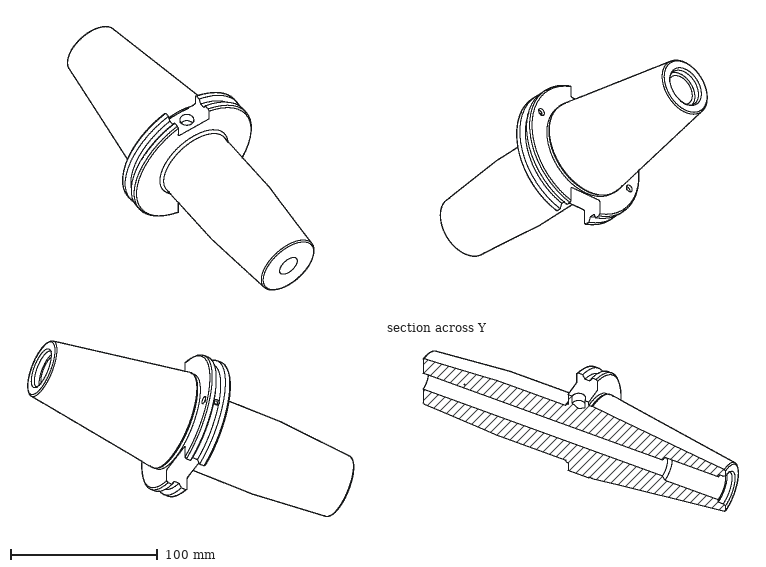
import cadquery as cq
import math

total_length = 231.5
gauge_x = 101.7
neck_x = 102.5
flange_start_x = 104.7
flange_end_x = 120.7
nose_cone_x = 175.0

gauge_diameter = 70.0
neck_diameter = 69.2
flange_diameter = 98.2
nose_diameter = 53.0
taper_ratio = 7 / 24
nose_angle = 4.5
end_bevel = 1.0
flange_bevel = 1.2
nose_fillet = 1.9

groove_x = 112.5
groove_floor_diameter = 91.3
groove_floor_width = 3.7
groove_wall_angle = 26.0

slot_width = 25.7
top_slot_floor = 37.8
bottom_slot_floor = 35.5
slot_corner_fillet = 1.0

drill_half_angle = 59.0

dimple_diameter = 9.5
dimple_depth = 7.0

bore_mouth_diameter = 28.3
counterbore_diameter = 26.2
counterbore_depth = 5.5
mouth_half_angle = 30.0
wide_bore_diameter = 21.5
wide_bore_depth = 46.3
through_diameter = 14.8

coolant_angles = (20.0, 200.0)
coolant_socket_radius = 42.0
coolant_socket_diameter = 5.0
coolant_socket_depth = 2.3
coolant_passage_radius = 41.2
coolant_passage_diameter = 2.5
coolant_outlet_diameter = 4.2


def revolve_about_x(points):
    """Turn a closed (x, radius) outline about the X axis."""
    return cq.Workplane("XY").polyline(points).close().revolve(360, (0, 0, 0), (1, 0, 0))


def drill_tip_length(large_radius, small_radius=0.0):
    """Length of the cone a drill leaves between two radii."""
    return (large_radius - small_radius) / math.tan(math.radians(drill_half_angle))


def turned_body():
    gauge_radius = gauge_diameter / 2
    neck_radius = neck_diameter / 2
    flange_radius = flange_diameter / 2
    nose_radius = nose_diameter / 2
    small_end_radius = gauge_radius - gauge_x * taper_ratio / 2
    bevel_end_radius = small_end_radius + end_bevel * taper_ratio / 2
    nose_slope = math.tan(math.radians(nose_angle))
    tip_radius = nose_radius - (total_length - nose_cone_x) * nose_slope
    tip_bevel_radius = tip_radius + end_bevel * nose_slope

    outline = (
        cq.Workplane("XY")
        .moveTo(0, 0)
        .lineTo(0, small_end_radius - end_bevel)
        .lineTo(end_bevel, bevel_end_radius)
        .lineTo(gauge_x, gauge_radius)
        .lineTo(neck_x, neck_radius)
        .lineTo(flange_start_x, neck_radius)
        .lineTo(flange_start_x, flange_radius - flange_bevel)
        .lineTo(flange_start_x + flange_bevel, flange_radius)
        .lineTo(flange_end_x - flange_bevel, flange_radius)
        .lineTo(flange_end_x, flange_radius - flange_bevel)
        .lineTo(flange_end_x, nose_radius + nose_fillet)
        .radiusArc((flange_end_x + nose_fillet, nose_radius), nose_fillet)
        .lineTo(nose_cone_x, nose_radius)
        .lineTo(total_length - end_bevel, tip_bevel_radius)
        .lineTo(total_length, tip_radius - end_bevel)
        .lineTo(total_length, 0)
        .close()
    )
    return outline.revolve(360, (0, 0, 0), (1, 0, 0))


def flange_groove():
    floor_radius = groove_floor_diameter / 2
    rim_radius = flange_diameter / 2
    half_floor = groove_floor_width / 2
    half_rim = half_floor + (rim_radius - floor_radius) * math.tan(math.radians(groove_wall_angle))
    ring_section = [
        (groove_x - half_floor, floor_radius),
        (groove_x - half_rim, rim_radius),
        (groove_x + half_rim, rim_radius),
        (groove_x + half_floor, floor_radius),
    ]
    return revolve_about_x(ring_section)


def drive_slot(floor_height, side):
    """Slot through the flange; side is +1 for the top and -1 for the bottom."""
    height = flange_diameter / 2
    slot = (
        cq.Workplane("XY")
        .box(flange_end_x - flange_start_x, slot_width, height, centered=(False, True, False))
        .edges("|X and <Z")
        .fillet(slot_corner_fillet)
        .translate((flange_start_x, 0, floor_height))
    )
    return slot if side > 0 else slot.mirror("XY")


def slot_dimple():
    radius = dimple_diameter / 2
    section = [
        (0, top_slot_floor),
        (radius, top_slot_floor),
        (radius, top_slot_floor - dimple_depth),
        (0, top_slot_floor - dimple_depth - drill_tip_length(radius)),
    ]
    drill = cq.Workplane("XZ").polyline(section).close().revolve(360, (0, 0, 0), (0, 1, 0))
    return drill.translate((groove_x, 0, 0))


def stepped_bore():
    mouth_radius = bore_mouth_diameter / 2
    counterbore_radius = counterbore_diameter / 2
    wide_radius = wide_bore_diameter / 2
    through_radius = through_diameter / 2
    mouth_depth = (mouth_radius - counterbore_radius) / math.tan(math.radians(mouth_half_angle))
    cone_length = drill_tip_length(wide_radius, through_radius)
    return revolve_about_x([
        (0, 0),
        (0, mouth_radius),
        (mouth_depth, counterbore_radius),
        (counterbore_depth, counterbore_radius),
        (counterbore_depth, wide_radius),
        (wide_bore_depth, wide_radius),
        (wide_bore_depth + cone_length, through_radius),
        (total_length, through_radius),
        (total_length, 0),
    ])


def coolant_hole(angle):
    """Socket in the flange face, narrow axial passage, and outlet in the groove floor, turned about X."""
    socket_radius = coolant_socket_diameter / 2
    socket_end_x = flange_start_x + coolant_socket_depth
    socket = revolve_about_x([
        (flange_start_x, 0),
        (flange_start_x, socket_radius),
        (socket_end_x, socket_radius),
        (socket_end_x + drill_tip_length(socket_radius), 0),
    ]).translate((0, coolant_socket_radius, 0))

    passage_radius = coolant_passage_diameter / 2
    passage = (
        cq.Workplane("YZ", origin=(flange_start_x, coolant_passage_radius, 0))
        .circle(passage_radius)
        .extrude(groove_x - flange_start_x)
    )

    floor_radius = groove_floor_diameter / 2
    outlet_radius = coolant_outlet_diameter / 2
    outlet_section = [
        (0, coolant_passage_radius - passage_radius),
        (passage_radius, coolant_passage_radius - passage_radius),
        (passage_radius, floor_radius - (outlet_radius - passage_radius)),
        (outlet_radius, floor_radius),
        (outlet_radius, flange_diameter / 2),
        (0, flange_diameter / 2),
    ]
    outlet = cq.Workplane("XY").polyline(outlet_section).close().revolve(360, (0, 0, 0), (0, 1, 0))
    outlet = outlet.translate((groove_x, 0, 0))

    return socket.union(passage).union(outlet).rotate((0, 0, 0), (1, 0, 0), angle)


result = turned_body()
result = result.cut(flange_groove())
result = result.cut(drive_slot(top_slot_floor, 1))
result = result.cut(drive_slot(bottom_slot_floor, -1))
result = result.cut(slot_dimple())
result = result.cut(stepped_bore())
for coolant_angle in coolant_angles:
    result = result.cut(coolant_hole(coolant_angle))